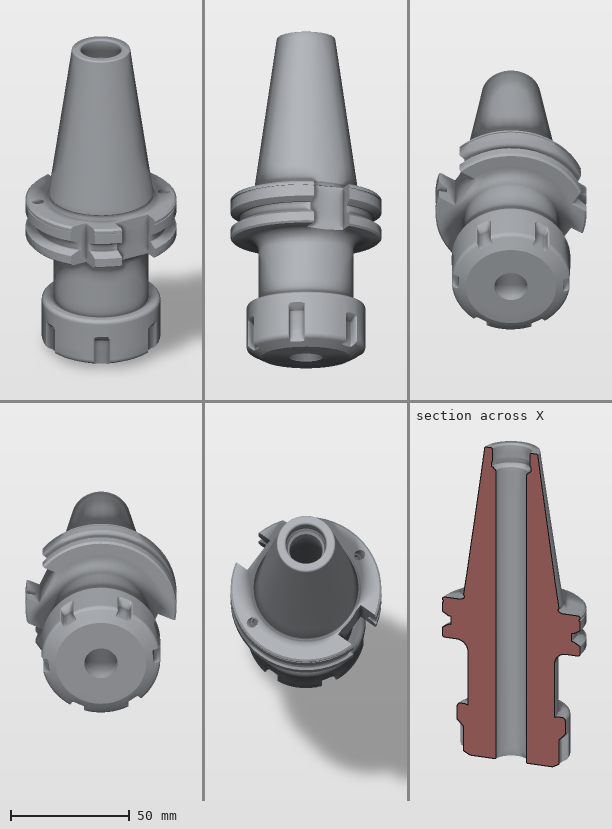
import cadquery as cq
import math


GAUGE_RADIUS = 44.45 / 2
TAPER_SLOPE = 7 / 48
TAPER_TOP_Z = 68.4
TAPER_BASE_Z = 1.1
TAPER_TOP_ROUND = 0.8
RELIEF_RADIUS = 21.7
RELIEF_TOP_Z = 0.6
RELIEF_FILLET = 0.85
FACE_CONE_RADIUS = 23.2
FACE_CONE_HEIGHT = 0.35

FLANGE_RADIUS = 63.55 / 2
FLANGE_TOP_Z = -1.0
FLANGE_BOTTOM_Z = -19.1
RIM_CHAMFER = 0.8
LOWER_CHAMFER = 0.8
RIM_GROOVE_TOP_Z = -2.7
RIM_GROOVE_HEIGHT = 0.7
RIM_GROOVE_DEPTH = 0.5
V_GROOVE_Z = -11.1
V_GROOVE_RADIUS = 27.9
V_GROOVE_LEDGE_RADIUS = 28.7
V_GROOVE_FLOOR_WIDTH = 3.4
V_GROOVE_MOUTH_WIDTH = 7.0

KEYWAY_WIDTH = 16.1
KEYWAY_FLOOR_LEFT = 22.7
KEYWAY_FLOOR_RIGHT = 24.8
NOTCH_CORNER = 18.5

COOLANT_ANGLES = (69.7, 249.7)
COOLANT_PITCH_RADIUS = 26.9
COOLANT_DIAMETER = 4.2
COOLANT_TILT = 35.0
COOLANT_DEPTH = 2.0
SOCKET_ACROSS_CORNERS = 3.0
SOCKET_DEPTH = 1.5

NECK_RADIUS = 20.0
NECK_FILLET = 5.0

NUT_RADIUS = 25.0
NUT_TOP_Z = -47.2
NUT_BOTTOM_Z = -70.0
NUT_TOP_ROUND = 1.7
NUT_MOUTH_RADIUS = 21.25
NUT_MOUTH_DEPTH = 0.4
NUT_NOSE_RADIUS = 19.0
NUT_NOSE_ANGLE = 28.0
NUT_NOSE_ROUND = 2.0

SLOT_COUNT = 6
SLOT_FIRST_ANGLE = 30.0
SLOT_WIDTH = 6.4
SLOT_LIP = 0.4
SLOT_FLOOR = 22.0
SLOT_FILLET = 0.8
SLOT_TOP_Z = -54.6
TALL_SLOT_TOP_Z = -52.0
TALL_SLOT_INDEX = 2

BORE_RADIUS = 7.0
COUNTERBORE_RADIUS = 8.5
COUNTERBORE_DEPTH = 6.2
ENTRY_ROUND = 0.9
UNDERCUT_RADIUS = 9.0
UNDERCUT_HEIGHT = 2.2
SEAT_HEIGHT = 1.6

CLEARANCE = 5.0


def taper_radius(z):
    return GAUGE_RADIUS - TAPER_SLOPE * z


def arc_bulge(radius):
    """Offset along each axis from a sharp corner to the middle of its quarter round."""
    return radius * (1 - math.sqrt(0.5))


def body():
    """Turned outline of shank, flange, neck and nut, revolved about Z."""
    relief_floor_z = FLANGE_TOP_Z + FACE_CONE_HEIGHT
    relief_bulge = arc_bulge(RELIEF_FILLET)
    neck_bulge = arc_bulge(NECK_FILLET)
    nut_bulge = arc_bulge(NUT_TOP_ROUND)
    mouth_half = V_GROOVE_MOUTH_WIDTH / 2
    floor_half = V_GROOVE_FLOOR_WIDTH / 2
    rim_groove_radius = FLANGE_RADIUS - RIM_GROOVE_DEPTH
    nose_height = (NUT_RADIUS - NUT_NOSE_RADIUS) * math.tan(math.radians(NUT_NOSE_ANGLE))

    outline = (
        cq.Workplane("XZ")
        .moveTo(0, TAPER_TOP_Z)
        .lineTo(taper_radius(TAPER_TOP_Z), TAPER_TOP_Z)
        .lineTo(taper_radius(TAPER_BASE_Z), TAPER_BASE_Z)
        .lineTo(RELIEF_RADIUS, RELIEF_TOP_Z)
        .lineTo(RELIEF_RADIUS, relief_floor_z + RELIEF_FILLET)
        .threePointArc(
            (RELIEF_RADIUS + relief_bulge, relief_floor_z + relief_bulge),
            (RELIEF_RADIUS + RELIEF_FILLET, relief_floor_z),
        )
        .lineTo(FACE_CONE_RADIUS, FLANGE_TOP_Z)
        .lineTo(FLANGE_RADIUS - RIM_CHAMFER, FLANGE_TOP_Z)
        .lineTo(FLANGE_RADIUS, FLANGE_TOP_Z - RIM_CHAMFER)
        .lineTo(FLANGE_RADIUS, RIM_GROOVE_TOP_Z)
        .lineTo(rim_groove_radius, RIM_GROOVE_TOP_Z)
        .lineTo(rim_groove_radius, RIM_GROOVE_TOP_Z - RIM_GROOVE_HEIGHT)
        .lineTo(FLANGE_RADIUS, RIM_GROOVE_TOP_Z - RIM_GROOVE_HEIGHT)
        .lineTo(FLANGE_RADIUS, V_GROOVE_Z + mouth_half)
        .lineTo(V_GROOVE_LEDGE_RADIUS, V_GROOVE_Z + floor_half)
        .lineTo(V_GROOVE_RADIUS, V_GROOVE_Z + floor_half)
        .lineTo(V_GROOVE_RADIUS, V_GROOVE_Z - floor_half)
        .lineTo(V_GROOVE_LEDGE_RADIUS, V_GROOVE_Z - floor_half)
        .lineTo(FLANGE_RADIUS, V_GROOVE_Z - mouth_half)
        .lineTo(FLANGE_RADIUS, FLANGE_BOTTOM_Z + LOWER_CHAMFER)
        .lineTo(FLANGE_RADIUS - LOWER_CHAMFER, FLANGE_BOTTOM_Z)
        .lineTo(NECK_RADIUS + NECK_FILLET, FLANGE_BOTTOM_Z)
        .threePointArc(
            (NECK_RADIUS + neck_bulge, FLANGE_BOTTOM_Z - neck_bulge),
            (NECK_RADIUS, FLANGE_BOTTOM_Z - NECK_FILLET),
        )
        .lineTo(NECK_RADIUS, NUT_TOP_Z - NUT_MOUTH_DEPTH)
        .lineTo(NUT_MOUTH_RADIUS, NUT_TOP_Z)
        .lineTo(NUT_RADIUS - NUT_TOP_ROUND, NUT_TOP_Z)
        .threePointArc(
            (NUT_RADIUS - nut_bulge, NUT_TOP_Z - nut_bulge),
            (NUT_RADIUS, NUT_TOP_Z - NUT_TOP_ROUND),
        )
        .lineTo(NUT_RADIUS, NUT_BOTTOM_Z + nose_height)
        .lineTo(NUT_NOSE_RADIUS, NUT_BOTTOM_Z)
        .lineTo(0, NUT_BOTTOM_Z)
        .close()
    )
    turned = outline.revolve(360, (0, 0, 0), (0, 1, 0))
    nose_edge = cq.selectors.NearestToPointSelector((0, 0, NUT_BOTTOM_Z + nose_height))
    turned = turned.edges("%CIRCLE").edges(nose_edge).fillet(NUT_NOSE_ROUND)
    return turned.faces(">Z").edges().fillet(TAPER_TOP_ROUND)


def bore():
    """Through bore with the drawbar counterbore, its undercut and a conical seat."""
    entry_bulge = arc_bulge(ENTRY_ROUND)
    undercut_top = TAPER_TOP_Z - COUNTERBORE_DEPTH
    undercut_bottom = undercut_top - UNDERCUT_HEIGHT
    seat_bottom = undercut_bottom - SEAT_HEIGHT
    return (
        cq.Workplane("XZ")
        .moveTo(0, TAPER_TOP_Z)
        .lineTo(COUNTERBORE_RADIUS + ENTRY_ROUND, TAPER_TOP_Z)
        .threePointArc(
            (COUNTERBORE_RADIUS + entry_bulge, TAPER_TOP_Z - entry_bulge),
            (COUNTERBORE_RADIUS, TAPER_TOP_Z - ENTRY_ROUND),
        )
        .lineTo(COUNTERBORE_RADIUS, undercut_top)
        .lineTo(UNDERCUT_RADIUS, undercut_top)
        .lineTo(UNDERCUT_RADIUS, undercut_bottom)
        .lineTo(COUNTERBORE_RADIUS, undercut_bottom)
        .lineTo(BORE_RADIUS, seat_bottom)
        .lineTo(BORE_RADIUS, NUT_BOTTOM_Z)
        .lineTo(0, NUT_BOTTOM_Z)
        .close()
        .revolve(360, (0, 0, 0), (0, 1, 0))
    )


def flange_block(x_start, x_end, y_start, y_end):
    """Box over this XY range, from the flange face down to the end of the neck fillet."""
    height = FLANGE_TOP_Z - FLANGE_BOTTOM_Z + NECK_FILLET
    return (
        cq.Workplane("XY", origin=(0, 0, FLANGE_TOP_Z))
        .moveTo((x_start + x_end) / 2, (y_start + y_end) / 2)
        .rect(abs(x_end - x_start), abs(y_end - y_start))
        .extrude(-height)
    )


def flange_cutouts():
    """Two drive keyways and the orientation notch."""
    outside = FLANGE_RADIUS + CLEARANCE
    half_width = KEYWAY_WIDTH / 2
    left_keyway = flange_block(-outside, -KEYWAY_FLOOR_LEFT, -half_width, half_width)
    right_keyway = flange_block(KEYWAY_FLOOR_RIGHT, outside, -half_width, half_width)
    notch = flange_block(NOTCH_CORNER, outside, -outside, -NOTCH_CORNER)
    return left_keyway.union(right_keyway).union(notch)


def coolant_hole(angle):
    """Leaning blind hole ending on a plug with a hexagon socket."""
    tilt = math.radians(COOLANT_TILT)
    mouth = cq.Plane(
        origin=(COOLANT_PITCH_RADIUS, 0, FLANGE_TOP_Z),
        xDir=(0, 1, 0),
        normal=(math.sin(tilt), 0, math.cos(tilt)),
    )
    hole = (
        cq.Workplane(mouth)
        .workplane(offset=-COOLANT_DEPTH)
        .circle(COOLANT_DIAMETER / 2)
        .extrude(COOLANT_DEPTH + COOLANT_DIAMETER)
    )
    socket = (
        cq.Workplane(mouth)
        .workplane(offset=-COOLANT_DEPTH)
        .polygon(6, SOCKET_ACROSS_CORNERS)
        .extrude(-SOCKET_DEPTH)
    )
    return hole.union(socket).rotate((0, 0, 0), (0, 0, 1), angle)


def spanner_slot(top_z, angle):
    """Slot open at the nose of the nut, with a 45 degree upper end and broken long edges."""
    reach = NUT_RADIUS + CLEARANCE
    run_out = reach - SLOT_FLOOR
    shoulder_z = top_z - (NUT_RADIUS - SLOT_FLOOR)
    floor_edges = cq.selectors.StringSyntaxSelector("|Z and <X")
    end_edges = cq.selectors.ParallelDirSelector(cq.Vector(1, 0, 1))
    slot = (
        cq.Workplane("XZ")
        .moveTo(SLOT_FLOOR, NUT_BOTTOM_Z)
        .lineTo(SLOT_FLOOR, shoulder_z)
        .lineTo(reach, shoulder_z + run_out)
        .lineTo(reach, NUT_BOTTOM_Z)
        .close()
        .extrude(SLOT_WIDTH / 2, both=True)
        .edges(floor_edges + end_edges)
        .fillet(SLOT_FILLET)
    )
    half_width = SLOT_WIDTH / 2
    lip_start = math.sqrt(NUT_RADIUS**2 - (half_width + SLOT_LIP) ** 2) - SLOT_LIP
    lip_half_end = half_width + reach - lip_start
    lip = (
        cq.Workplane("XY", origin=(0, 0, NUT_BOTTOM_Z))
        .moveTo(lip_start, -half_width)
        .lineTo(lip_start, half_width)
        .lineTo(reach, lip_half_end)
        .lineTo(reach, -lip_half_end)
        .close()
        .extrude(top_z - SLOT_FILLET - NUT_BOTTOM_Z)
    )
    return slot.union(lip).rotate((0, 0, 0), (0, 0, 1), angle)


result = body().cut(bore()).cut(flange_cutouts())

for hole_angle in COOLANT_ANGLES:
    result = result.cut(coolant_hole(hole_angle))

for index in range(SLOT_COUNT):
    slot_top = TALL_SLOT_TOP_Z if index == TALL_SLOT_INDEX else SLOT_TOP_Z
    slot_angle = SLOT_FIRST_ANGLE + index * 360 / SLOT_COUNT
    result = result.cut(spanner_slot(slot_top, slot_angle))